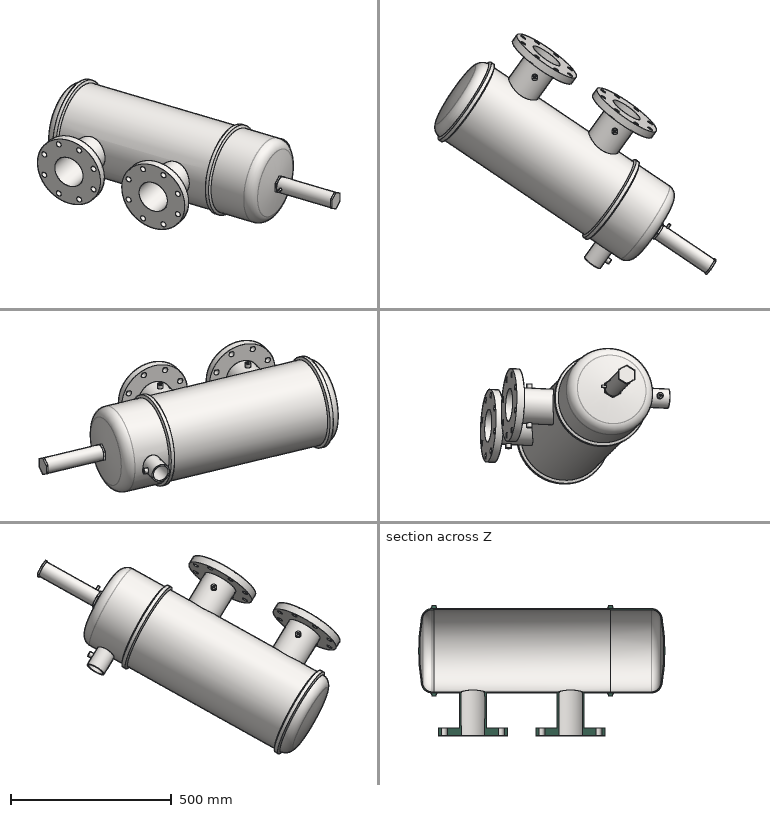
import cadquery as cq
import math


TOTAL_LENGTH = 978.5
VESSEL_LENGTH = 770.0
SHELL_RADIUS = 137.0
WALL = 5.0
SHELL_BORE = SHELL_RADIUS - WALL

CROWN_RADIUS = 587.0
KNUCKLE_RADIUS = 34.0

RING_RADIUS = 146.0
RING_BASE_WIDTH = 20.0
RING_CREST_WIDTH = 12.0
CAP_JOINT_X = 50.0
CHANNEL_JOINT_X = 599.0

NOZZLE_XS = (171.0, 475.0)
NOZZLE_RADIUS = 56.0
NOZZLE_BORE = NOZZLE_RADIUS - WALL
NOZZLE_REACH = 264.0
FLANGE_RADIUS = 113.5
FLANGE_THICKNESS = 24.0
BOLT_COUNT = 8
BOLT_CIRCLE_RADIUS = 96.0
BOLT_HOLE_RADIUS = 9.0

OUTLET_X = 667.0
OUTLET_RADIUS = 30.0
OUTLET_BORE = OUTLET_RADIUS - WALL
OUTLET_REACH = 200.0

BOSS_RADIUS = 9.0
BOSS_HOLE_RADIUS = 4.0
BOSS_HEIGHT = 13.0
NOZZLE_BOSS_Y = -200.0
OUTLET_BOSS_Y = 166.0

HOLDER_RADIUS = 25.0
HEX_THICKNESS = 6.0
HEX_CORNER_DIAMETER = 2 * HOLDER_RADIUS / math.cos(math.pi / 6)
HOLDER_START_X = 774.0
NECK_RADIUS = 17.0
PIN_X = 795.0
PIN_RADIUS = 4.0
PIN_REACH = 39.0


def cylinder(start, direction, radius, length):
    """Round bar from a start point along a direction."""
    return cq.Workplane(cq.Solid.makeCylinder(radius, length, cq.Vector(*start), cq.Vector(*direction)))


def domed_end(tip_x, open_x, inset):
    """Solid of revolution from a dome tip to a flat end, shrunk inwards by the inset."""
    inward = math.copysign(1, open_x - tip_x)
    radius = SHELL_RADIUS - inset
    crown = CROWN_RADIUS - inset
    knuckle = KNUCKLE_RADIUS - inset
    knuckle_center_r = radius - knuckle
    knuckle_center_depth = CROWN_RADIUS - math.sqrt((crown - knuckle) ** 2 - knuckle_center_r ** 2)
    knuckle_angle = math.asin(knuckle_center_r / (crown - knuckle))
    middle_angle = (knuckle_angle + math.pi / 2) / 2

    def on_crown(angle):
        return tip_x + inward * (CROWN_RADIUS - crown * math.cos(angle)), crown * math.sin(angle)

    def on_knuckle(angle):
        depth = knuckle_center_depth - knuckle * math.cos(angle)
        return tip_x + inward * depth, knuckle_center_r + knuckle * math.sin(angle)

    return (
        cq.Workplane("XY")
        .moveTo(*on_crown(0))
        .threePointArc(on_crown(knuckle_angle / 2), on_crown(knuckle_angle))
        .threePointArc(on_knuckle(middle_angle), on_knuckle(math.pi / 2))
        .lineTo(open_x, radius)
        .lineTo(open_x, 0)
        .close()
        .revolve(360, (0, 0, 0), (1, 0, 0))
    )


def boss(base, direction, pipe_radius):
    """Boss on a pipe, starting at the pipe axis."""
    return cylinder(base, direction, BOSS_RADIUS, pipe_radius + BOSS_HEIGHT)


def boss_hole(base, direction, pipe_radius):
    """Blind hole in a boss, as deep as the boss stands above the pipe."""
    start = cq.Vector(*base) + cq.Vector(*direction) * pipe_radius
    return cylinder(start.toTuple(), direction, BOSS_HOLE_RADIUS, BOSS_HEIGHT)


def make_cap():
    return domed_end(0, CAP_JOINT_X, 0).cut(domed_end(0, CAP_JOINT_X, WALL))


def make_shell():
    length = CHANNEL_JOINT_X - CAP_JOINT_X
    shell = cylinder((CAP_JOINT_X, 0, 0), (1, 0, 0), SHELL_RADIUS, length)
    for x in NOZZLE_XS:
        shell = shell.union(cylinder((x, 0, 0), (0, -1, 0), NOZZLE_RADIUS, NOZZLE_REACH))
        flange_start = (x, FLANGE_THICKNESS - NOZZLE_REACH, 0)
        shell = shell.union(cylinder(flange_start, (0, -1, 0), FLANGE_RADIUS, FLANGE_THICKNESS))
        for side in (1, -1):
            shell = shell.union(boss((x, NOZZLE_BOSS_Y, 0), (0, 0, side), NOZZLE_RADIUS))
    shell = shell.cut(cylinder((CAP_JOINT_X, 0, 0), (1, 0, 0), SHELL_BORE, length))
    for x in NOZZLE_XS:
        shell = shell.cut(cylinder((x, 0, 0), (0, -1, 0), NOZZLE_BORE, NOZZLE_REACH))
        for side in (1, -1):
            shell = shell.cut(boss_hole((x, NOZZLE_BOSS_Y, 0), (0, 0, side), NOZZLE_RADIUS))
        for i in range(BOLT_COUNT):
            angle = 2 * math.pi * (i + 0.5) / BOLT_COUNT
            bolt_x = x + BOLT_CIRCLE_RADIUS * math.cos(angle)
            bolt_z = BOLT_CIRCLE_RADIUS * math.sin(angle)
            bolt_start = (bolt_x, -NOZZLE_REACH, bolt_z)
            shell = shell.cut(cylinder(bolt_start, (0, 1, 0), BOLT_HOLE_RADIUS, FLANGE_THICKNESS))
    return shell


def make_channel():
    boss_base = (OUTLET_X, OUTLET_BOSS_Y, 0)
    return (
        domed_end(VESSEL_LENGTH, CHANNEL_JOINT_X, 0)
        .union(cylinder((OUTLET_X, 0, 0), (0, 1, 0), OUTLET_RADIUS, OUTLET_REACH))
        .union(boss(boss_base, (1, 0, 0), OUTLET_RADIUS))
        .cut(domed_end(VESSEL_LENGTH, CHANNEL_JOINT_X, WALL))
        .cut(cylinder((OUTLET_X, 0, 0), (0, 1, 0), OUTLET_BORE, OUTLET_REACH))
        .cut(boss_hole(boss_base, (1, 0, 0), OUTLET_RADIUS))
        .cut(make_neck())
    )


def make_ring(joint_x):
    """Clamp ring centred on a joint, tapering on both sides from its bore to its crest."""
    half_base = RING_BASE_WIDTH / 2
    half_crest = RING_CREST_WIDTH / 2
    return (
        cq.Workplane("XY")
        .moveTo(joint_x - half_base, SHELL_RADIUS)
        .lineTo(joint_x - half_crest, RING_RADIUS)
        .lineTo(joint_x + half_crest, RING_RADIUS)
        .lineTo(joint_x + half_base, SHELL_RADIUS)
        .close()
        .revolve(360, (0, 0, 0), (1, 0, 0))
    )


def make_neck():
    """Neck from the inner face of the right dome to the holder."""
    start_x = VESSEL_LENGTH - WALL
    return cylinder((start_x, 0, 0), (1, 0, 0), NECK_RADIUS, HOLDER_START_X - start_x)


def make_hex_end(start_x):
    """Hexagonal plate with two corners on the Z direction."""
    return (
        cq.Workplane("YZ", origin=(start_x, 0, 0))
        .polygon(6, HEX_CORNER_DIAMETER)
        .extrude(HEX_THICKNESS)
        .rotate((0, 0, 0), (1, 0, 0), 90)
    )


def make_holder():
    tube_length = TOTAL_LENGTH - HOLDER_START_X
    return (
        cylinder((HOLDER_START_X, 0, 0), (1, 0, 0), HOLDER_RADIUS, tube_length)
        .union(make_hex_end(HOLDER_START_X))
        .union(make_hex_end(TOTAL_LENGTH - HEX_THICKNESS))
        .union(make_neck())
        .union(cylinder((PIN_X, 0, 0), (0, -1, 0), PIN_RADIUS, PIN_REACH))
    )


cap = make_cap()
shell = make_shell()
channel = make_channel()
rings = [make_ring(x) for x in (CAP_JOINT_X, CHANNEL_JOINT_X)]
holder = make_holder()

result = cq.Compound.makeCompound(
    [cap.val(), shell.val(), channel.val(), *[ring.val() for ring in rings], holder.val()]
)